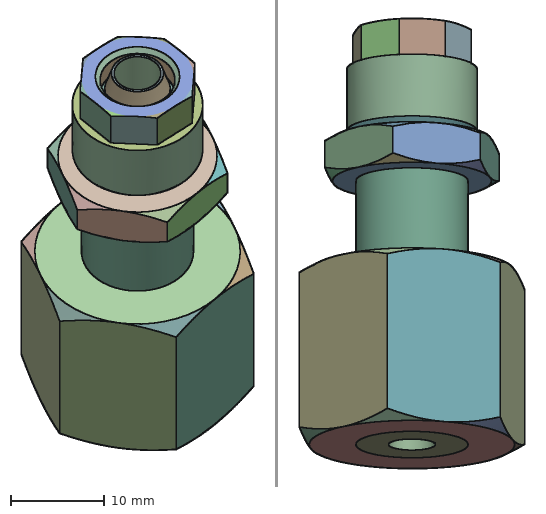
import cadquery as cq
import math

total_height = 46.0
swivel_nut_height = 19.0
collar_bottom = 29.03
collar_top = 33.5
cap_bottom = 34.0
cap_shoulder = 41.3
cap_top = 45.5

swivel_nut_flats = 22.0
collar_flats = 17.0
cap_octagon_flats = 12.0
hex_chamfer_angle = 30.0
octagon_chamfer_angle = 15.0

shaft_diameter = 12.0
bore_diameter = 5.0
nose_diameter = 7.0
nose_tip_diameter = 5.55
cap_diameter = 14.0
cap_rim_chamfer = 0.5
cap_recess_diameter = 8.0
recess_chamfer = 0.5

nose_cone_height = 2.3
nose_cone_bottom = total_height - nose_cone_height
recess_floor = 42.8


def cylinder(diameter, bottom, top):
    """Solid cylinder on the Z axis between two levels."""
    return cq.Workplane("XY").workplane(offset=bottom).circle(diameter / 2).extrude(top - bottom)


def chamfered_prism(sides, flats, bottom, top, angle, chamfer_bottom):
    """Regular prism with a corner on +X, its corners cut by cones that touch the flats at the end faces."""
    flat_radius = flats / 2
    corner_radius = flat_radius / math.cos(math.pi / sides)
    drop = (corner_radius - flat_radius) * math.tan(math.radians(angle))
    prism = (
        cq.Workplane("XY").workplane(offset=bottom)
        .polygon(sides, 2 * corner_radius).extrude(top - bottom)
    )
    profile = cq.Workplane("XZ").moveTo(0, bottom)
    if chamfer_bottom:
        profile = profile.lineTo(flat_radius, bottom).lineTo(corner_radius, bottom + drop)
    else:
        profile = profile.lineTo(corner_radius, bottom)
    envelope = (
        profile.lineTo(corner_radius, top - drop).lineTo(flat_radius, top).lineTo(0, top)
        .close().revolve(360, (0, 0, 0), (0, 1, 0))
    )
    return prism.intersect(envelope)


def make_swivel_nut():
    """Large hexagonal nut around the lower end of the shaft."""
    nut = chamfered_prism(6, swivel_nut_flats, 0, swivel_nut_height, hex_chamfer_angle, True)
    return nut.cut(cylinder(shaft_diameter, 0, swivel_nut_height))


def make_nose():
    """Tube with a conical upper end that stands inside the cap."""
    nose_radius = nose_diameter / 2
    tip_radius = nose_tip_diameter / 2
    return (
        cq.Workplane("XZ").moveTo(0, cap_bottom).lineTo(nose_radius, cap_bottom)
        .lineTo(nose_radius, nose_cone_bottom)
        .lineTo(tip_radius, total_height)
        .lineTo(0, total_height).close().revolve(360, (0, 0, 0), (0, 1, 0))
    )


def make_stem():
    """Shaft with a hexagonal collar and a nose, bored through its whole length."""
    shaft = cylinder(shaft_diameter, 0, cap_bottom)
    collar = chamfered_prism(6, collar_flats, collar_bottom, collar_top, hex_chamfer_angle, True)
    bore = cylinder(bore_diameter, 0, total_height)
    return shaft.union(collar).union(make_nose()).cut(bore)


def make_cap():
    """Round cap with an octagonal head and a chamfered recess around the nose."""
    barrel = cylinder(cap_diameter, cap_bottom, cap_shoulder).faces("<Z").chamfer(cap_rim_chamfer)
    head = chamfered_prism(8, cap_octagon_flats, cap_shoulder, cap_top, octagon_chamfer_angle, False)
    nose_hole = cylinder(nose_diameter, cap_bottom, cap_top)
    recess = cylinder(cap_recess_diameter, recess_floor, cap_top)
    cap = barrel.union(head).cut(nose_hole).cut(recess)
    recess_rim = cq.selectors.RadiusNthSelector(0)
    return cap.faces(">Z").edges("%CIRCLE").edges(recess_rim).chamfer(recess_chamfer)


swivel_nut = make_swivel_nut()
stem = make_stem()
cap = make_cap()

result = cq.Compound.makeCompound([swivel_nut.val(), stem.val(), cap.val()])